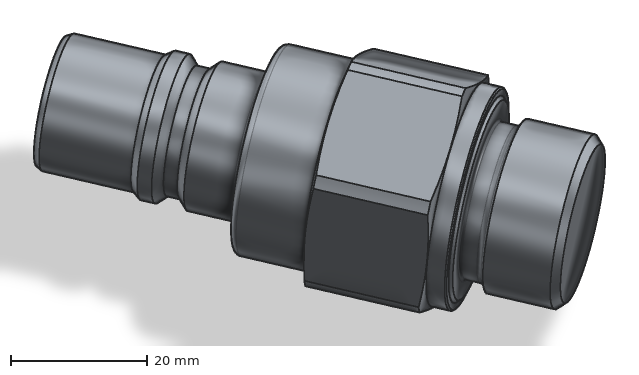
import cadquery as cq
import math

total_length = 81.0
bead_start = 15.0
bead_top_start = 16.2
bead_top_end = 18.4
shank_start = 23.3
body_start = 31.6
hex_start = 43.0
hex_end = 61.9
collar_end = 65.0
seat_end = 65.45
thread_start = 69.5

tip_diameter = 20.8
shank_diameter = 22.6
groove_diameter = 19.8
body_diameter = 32.0
collar_diameter = 33.8
seat_outer_diameter = 31.3
seat_inner_diameter = 30.2
relief_diameter = 23.8
thread_diameter = 26.4

tip_chamfer_length = 1.0
tip_chamfer_depth = 0.53
body_fillet = 1.01
collar_chamfer = 0.25
seat_fillet = 0.4
relief_fillet = 1.0
relief_cone_angle = math.radians(60)
thread_chamfer = 1.2

across_flats = 34.0
across_corners = 38.15
hex_turn = 13.6
hex_chamfer_slope = math.tan(math.radians(15))

tip_radius = tip_diameter / 2
shank_radius = shank_diameter / 2
groove_radius = groove_diameter / 2
body_radius = body_diameter / 2
collar_radius = collar_diameter / 2
seat_outer_radius = seat_outer_diameter / 2
seat_inner_radius = seat_inner_diameter / 2
relief_radius = relief_diameter / 2
thread_radius = thread_diameter / 2
hex_corner_radius = across_corners / 2
sharp_hex_diameter = across_flats / math.cos(math.radians(30))


def spin(profile):
    """Revolve a closed XY profile about the X axis."""
    return profile.close().revolve(360, (0, 0, 0), (1, 0, 0))


def plug_end():
    """Closed tip, locking bead, 45 degree groove and body, running into the hexagon."""
    groove_depth = shank_radius - groove_radius
    profile = (
        cq.Workplane("XY")
        .lineTo(0, tip_radius - tip_chamfer_depth)
        .lineTo(tip_chamfer_length, tip_radius)
        .lineTo(bead_start, tip_radius)
        .lineTo(bead_top_start, shank_radius)
        .lineTo(bead_top_end, shank_radius)
        .lineTo(bead_top_end + groove_depth, groove_radius)
        .lineTo(shank_start - groove_depth, groove_radius)
        .lineTo(shank_start, shank_radius)
        .lineTo(body_start - body_fillet, shank_radius)
        .radiusArc((body_start, shank_radius + body_fillet), -body_fillet)
        .lineTo(body_start, body_radius - body_fillet)
        .radiusArc((body_start + body_fillet, body_radius), body_fillet)
        .lineTo(hex_end, body_radius)
        .lineTo(hex_end, 0)
    )
    return spin(profile)


def threaded_end():
    """Collar with a conical seat, thread relief and chamfered thread cylinder."""
    arc_length = relief_fillet * math.sin(relief_cone_angle)
    arc_radius = relief_radius + relief_fillet * (1 - math.cos(relief_cone_angle))
    cone_length = (thread_radius - arc_radius) / math.tan(relief_cone_angle)
    arc_end = thread_start - cone_length
    profile = (
        cq.Workplane("XY")
        .moveTo(hex_start, 0)
        .lineTo(hex_start, seat_inner_radius)
        .lineTo(hex_end, seat_inner_radius)
        .lineTo(hex_end, collar_radius)
        .lineTo(collar_end - collar_chamfer, collar_radius)
        .lineTo(collar_end, collar_radius - collar_chamfer)
        .lineTo(collar_end, seat_outer_radius)
        .lineTo(seat_end, seat_inner_radius)
        .lineTo(seat_end, relief_radius + seat_fillet)
        .radiusArc((seat_end + seat_fillet, relief_radius), -seat_fillet)
        .lineTo(arc_end - arc_length, relief_radius)
        .radiusArc((arc_end, arc_radius), -relief_fillet)
        .lineTo(thread_start, thread_radius)
        .lineTo(total_length - thread_chamfer, thread_radius)
        .lineTo(total_length, thread_radius - thread_chamfer)
        .lineTo(total_length, 0)
    )
    return spin(profile)


def hexagon():
    """Wrench hexagon with turned corners and both ends turned to a shallow cone."""
    prism = (
        cq.Workplane("YZ", origin=(hex_start, 0, 0))
        .polygon(6, sharp_hex_diameter)
        .extrude(hex_end - hex_start)
        .rotate((0, 0, 0), (1, 0, 0), hex_turn)
    )
    body_side_chamfer = (hex_corner_radius - body_radius) * hex_chamfer_slope
    collar_side_chamfer = (hex_corner_radius - collar_radius) * hex_chamfer_slope
    envelope = (
        cq.Workplane("XY")
        .moveTo(hex_start, 0)
        .lineTo(hex_start, body_radius)
        .lineTo(hex_start + body_side_chamfer, hex_corner_radius)
        .lineTo(hex_end - collar_side_chamfer, hex_corner_radius)
        .lineTo(hex_end, collar_radius)
        .lineTo(hex_end, 0)
    )
    return prism.intersect(spin(envelope))


result = plug_end().union(hexagon()).union(threaded_end())